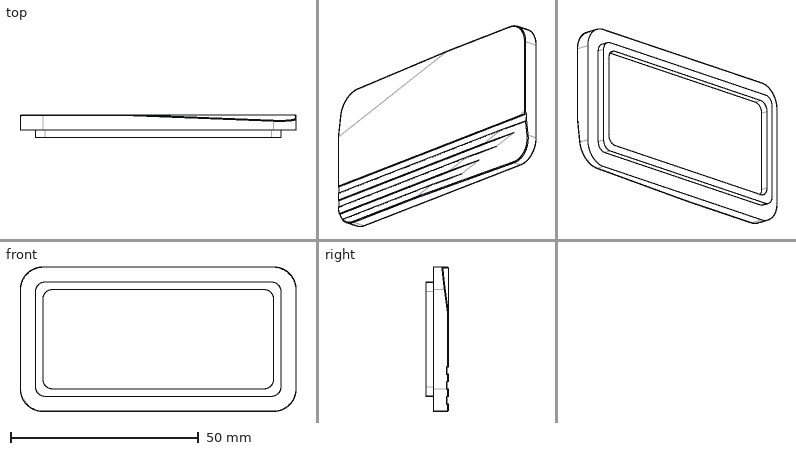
import cadquery as cq
import math

length = 73.5
height = 38.5
plate_thickness = 4.05
plate_corner_radius = 6.0
back_chamfer = 0.2

frame_inset = 4.05
frame_width = 2.0
frame_depth = 2.0
frame_outer_radius = 2.5
frame_inner_radius = frame_outer_radius

facet_start_x = -6.6
facet_start_z = 6.6
facet_slope = 0.14

groove_count = 3
groove_width = 2.0
groove_pitch = 2 * groove_width
groove_depth = 0.45
lowest_groove_offset = groove_width


def rounded_slab(inset, corner_radius, y_start, thickness):
    """Rounded rectangle, inset from the plate outline, extruded toward +Y."""
    return (
        cq.Workplane("XY")
        .box(length - 2 * inset, thickness, height - 2 * inset)
        .edges("|Y")
        .fillet(corner_radius)
        .translate((0, y_start + thickness / 2, 0))
    )


def facet_cutter():
    """Block above the sloped plane at the upper right corner of the back face."""
    run_x = length / 2 - facet_start_x
    run_z = height / 2 - facet_start_z
    diagonal = math.hypot(run_x, run_z)
    slope_x = facet_slope * run_z / diagonal
    slope_z = facet_slope * run_x / diagonal
    plane = cq.Plane(
        origin=(facet_start_x, plate_thickness, height / 2),
        xDir=(run_x, 0, -run_z),
        normal=(slope_x, 1, slope_z),
    )
    return cq.Workplane(plane).rect(2 * length, 2 * length).extrude(plate_thickness)


def back_rim_edges(slab):
    """Edges where the back face and the facets meet the side walls."""
    back_faces = slab.faces("%PLANE").faces("not(<Y or #Y)")
    rim = []
    for edge in back_faces.edges().vals():
        middle = edge.Center()
        on_straight_side = (
            math.isclose(abs(middle.x), length / 2) or math.isclose(abs(middle.z), height / 2)
        )
        on_corner = edge.geomType() != "LINE"
        if on_straight_side or on_corner:
            rim.append(edge)
    return rim


plate = rounded_slab(0, plate_corner_radius, 0, plate_thickness)
upper_facet = facet_cutter()
lower_facet = upper_facet.rotate((0, 0, 0), (0, 1, 0), 180)
plate = plate.cut(upper_facet).cut(lower_facet)

plate = plate.newObject(back_rim_edges(plate)).chamfer(back_chamfer)

frame = rounded_slab(frame_inset, frame_outer_radius, -frame_depth, frame_depth)
recess = rounded_slab(frame_inset + frame_width, frame_inner_radius, -frame_depth, frame_depth)
body = plate.union(frame.cut(recess))

for index in range(groove_count):
    groove_z = -height / 2 + lowest_groove_offset + groove_width / 2 + index * groove_pitch
    groove = cq.Workplane("XY").box(length, groove_depth, groove_width)
    body = body.cut(groove.translate((0, plate_thickness - groove_depth / 2, groove_z)))

result = body